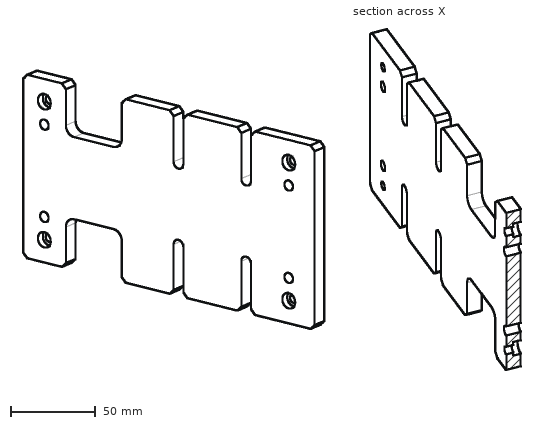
import cadquery as cq

length = 216.0
thickness = 9.5
height = 114.2
corner_chamfer = 3.0

notch_start = 31.7
notch_end = 73.0
notch_depth = 31.5
notch_fillet = 6.0

slot_width = 7.1
slot_depth = 35.0
slot_places = (115.0, 165.2)

hole_columns = (15.8, 196.7)
plain_hole_offset = 28.7
plain_hole_diameter = 6.3
stepped_hole_offset = 43.0
stepped_hole_diameter = 5.2
counterbore_diameter = 9.5
counterbore_depth = thickness / 2

left = -length / 2
top = height / 2
front = -thickness / 2


def cylinder(x, z, diameter, depth):
    """Cylinder running from the front face (-Y) into the plate."""
    axis_start = cq.Vector(x, front, z)
    return cq.Workplane(cq.Solid.makeCylinder(diameter / 2, depth, axis_start, cq.Vector(0, 1, 0)))


def notch(side):
    """Wide notch with rounded inner corners, in the top (1) or bottom (-1) edge."""
    middle = left + (notch_start + notch_end) / 2
    block = cq.Workplane().box(notch_end - notch_start, thickness, 2 * notch_depth)
    return block.edges("|Y").fillet(notch_fillet).translate((middle, 0, side * top))


def slot(x, side):
    """Narrow slot with a round inner end, in the top (1) or bottom (-1) edge."""
    straight = slot_depth - slot_width / 2
    body = cq.Workplane().box(slot_width, thickness, straight)
    body = body.translate((x, 0, side * (top - straight / 2)))
    return body.union(cylinder(x, side * (top - straight), slot_width, thickness))


plate = cq.Workplane().box(length, thickness, height)
for side in (1, -1):
    plate = plate.cut(notch(side))
    for place in slot_places:
        plate = plate.cut(slot(left + place, side))

plate = plate.faces(">Z or <Z").edges("|Y").chamfer(corner_chamfer)

for column in hole_columns:
    hole_x = left + column
    for side in (1, -1):
        plate = plate.cut(cylinder(hole_x, side * plain_hole_offset, plain_hole_diameter, thickness))
        stepped_z = side * stepped_hole_offset
        plate = plate.cut(cylinder(hole_x, stepped_z, stepped_hole_diameter, thickness))
        plate = plate.cut(cylinder(hole_x, stepped_z, counterbore_diameter, counterbore_depth))

result = plate